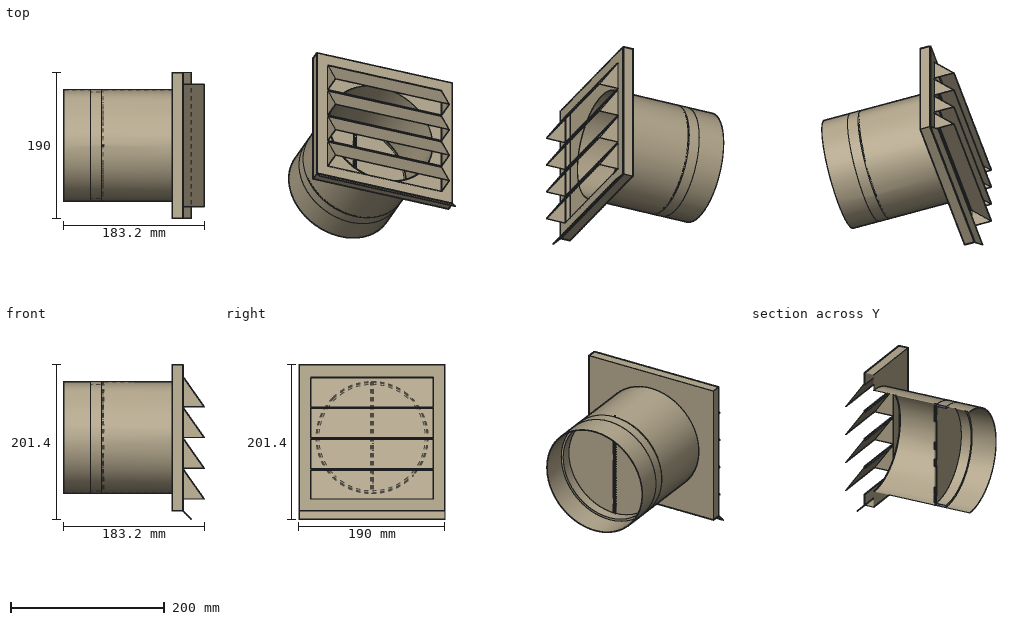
import cadquery as cq
import math


tube_length = 141.0
tube_outer_radius = 73.0
tube_wall = 0.8
tube_inner_radius = tube_outer_radius - tube_wall
ring_start = 35.0
ring_length = 14.4
ring_end = ring_start + ring_length
ring_bore_radius = 69.3

frame_width = 190.0
frame_top = frame_width / 2
frame_bottom = -95.5
frame_rear_bottom_radius = 0.7
frame_depth = 15.0
frame_wall = 0.8
sheet = 0.7
frame_front = tube_length + frame_depth
frame_chamfer_depth = 1.6
frame_chamfer_inset = 0.7
frame_chamfer_angle = math.degrees(math.atan2(frame_chamfer_inset, frame_chamfer_depth))

louvre_count = 4
louvre_pitch = 40.0
louvre_width = 160.0
louvre_height = 38.7
louvre_depth = 27.2
louvre_edge_radius = 1.5
lowest_louvre_z = -80.0

lip_bottom = -106.41
lip_tip_x = 166.2
lip_width = 189.8
lip_root = frame_chamfer_inset

pin_radius = 0.8
knuckle_radius = 1.9
flap_radius = 71.5
flap_thickness = 1.5
flap_edge_gap = 2.0
hinge_x = ring_end + flap_thickness
end_knuckle_start = 59.4
knuckle_length = 9.7
middle_knuckle_start = 7.4
lower_knuckle_start = -57.2


def cylinder_x(radius, start, length):
    return cq.Workplane("YZ", origin=(start, 0, 0)).circle(radius).extrude(length)


def cylinder_z(radius, bottom, top):
    return cq.Workplane("XY", origin=(hinge_x, 0, bottom)).circle(radius).extrude(top - bottom)


def block(x_range, y_range, z_range):
    lows, highs = zip(x_range, y_range, z_range)
    spans = [high - low for low, high in zip(lows, highs)]
    return cq.Workplane("XY").box(*spans, centered=False).translate(lows)


def louvre_wedge(tip_z, height, depth, width, start):
    """Triangular wedge with a flat underside at tip_z, sloping down to its front tip."""
    return (
        cq.Workplane("XZ", origin=(0, width / 2, 0))
        .polyline([(start, tip_z), (start + depth, tip_z), (start, tip_z + height)])
        .close()
        .extrude(width)
    )


def louvre_hood(tip_z):
    """Solid hood with its two sloping edges rounded."""
    hood = louvre_wedge(tip_z, louvre_height, louvre_depth, louvre_width, frame_front)
    return hood.edges("not (|X or |Y or |Z)").fillet(louvre_edge_radius)


def louvre_opening(tip_z):
    """Space under a hood, one sheet thickness inside it and open at the bottom."""
    slope_length = math.hypot(louvre_height, louvre_depth)
    height = louvre_height - sheet * slope_length / louvre_depth
    depth = louvre_depth - sheet * slope_length / louvre_height
    width = louvre_width - 2 * sheet
    hollow = louvre_wedge(tip_z, height, depth, width, frame_front)
    window = block(
        (frame_front - frame_chamfer_depth, frame_front),
        (-width / 2, width / 2),
        (tip_z, tip_z + height),
    )
    return hollow.union(window)


def drip_lip():
    slant = sheet * math.sqrt(0.5)
    tip_z = lip_bottom + slant
    root_z = frame_bottom + lip_root
    root_x = lip_tip_x - (root_z - tip_z)
    return (
        cq.Workplane("XZ", origin=(0, lip_width / 2, 0))
        .polyline(
            [
                (root_x, root_z),
                (lip_tip_x, tip_z),
                (lip_tip_x - slant, lip_bottom),
                (root_x - slant, root_z - slant),
            ]
        )
        .close()
        .extrude(lip_width)
    )


def make_frame():
    """Thin-walled square box with a chamfered front rim."""
    half = frame_width / 2
    inner_half = half - frame_wall
    rim_start = frame_front - frame_chamfer_depth
    box = block((tube_length, rim_start), (-half, half), (frame_bottom, frame_top))
    box = box.edges("<X and <Z").fillet(frame_rear_bottom_radius)
    rim = (
        cq.Workplane("YZ", origin=(rim_start, 0, (frame_top + frame_bottom) / 2))
        .rect(frame_width, frame_top - frame_bottom)
        .extrude(frame_chamfer_depth, taper=frame_chamfer_angle)
    )
    box = box.union(rim)
    cavity = block(
        (tube_length + frame_wall, rim_start),
        (-inner_half, inner_half),
        (frame_bottom + frame_wall, frame_top - sheet),
    )
    return box.cut(cavity)


def make_housing():
    housing = make_frame().union(cylinder_x(tube_outer_radius, 0, tube_length))
    housing = housing.cut(cylinder_x(tube_inner_radius, 0, tube_length + frame_wall))
    ring = cylinder_x(tube_inner_radius, ring_start, ring_length)
    housing = housing.union(ring.cut(cylinder_x(ring_bore_radius, ring_start, ring_length)))
    tips = [lowest_louvre_z + i * louvre_pitch for i in range(louvre_count)]
    for tip_z in tips:
        housing = housing.union(louvre_hood(tip_z))
    for tip_z in tips:
        housing = housing.cut(louvre_opening(tip_z))
    return housing.union(drip_lip())


def make_pin():
    return cylinder_z(pin_radius, -tube_outer_radius, tube_outer_radius)


def make_flap():
    """Flap on the +Y side, with three knuckles around the pin."""
    plate = cylinder_x(flap_radius, ring_end, flap_thickness)
    flap = plate.intersect(
        block(
            (ring_end, hinge_x),
            (flap_edge_gap, flap_radius),
            (-flap_radius, flap_radius),
        )
    )
    end_knuckle_top = math.sqrt(ring_bore_radius**2 - knuckle_radius**2)
    knuckles = [
        (end_knuckle_start, end_knuckle_top),
        (middle_knuckle_start, middle_knuckle_start + knuckle_length),
        (lower_knuckle_start, lower_knuckle_start + knuckle_length),
    ]
    for bottom, top in knuckles:
        web = block((ring_end, hinge_x), (0, flap_edge_gap), (bottom, top))
        flap = flap.union(web).union(cylinder_z(knuckle_radius, bottom, top))
    return flap.cut(cylinder_z(pin_radius, -flap_radius, flap_radius))


pin = make_pin()
housing = make_housing().cut(pin)
left_flap = make_flap()
right_flap = left_flap.rotate((0, 0, 0), (1, 0, 0), 180)

result = cq.Compound.makeCompound([housing.val(), pin.val(), left_flap.val(), right_flap.val()])